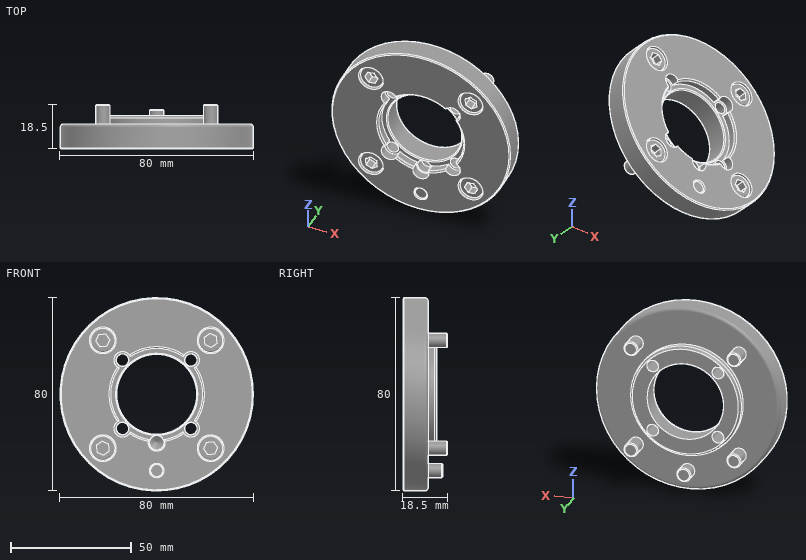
import cadquery as cq
import math


disc_diameter = 80.0
disc_thickness = 10.5
front_edge_chamfer = 0.5
back_edge_fillet = 1.5
spigot_diameter = 48.0
spigot_length = 3.5
spigot_chamfer = 1.0
flange_length = disc_thickness + spigot_length

bore_diameter = 33.0
bore_chamfer = 0.5
recess_diameter = 38.0
recess_depth = 4.0
recess_chamfer = 0.7

inner_circle_diameter = 40.0
pocket_diameter = 7.0
pocket_depth = recess_depth
through_hole_diameter = 5.0
blind_hole_diameter = 6.0
blind_hole_depth = 8.0
drill_tip_angle = 118.0

outer_circle_diameter = 63.0
screw_count = 4
first_screw_angle = 45.0
pin_angle = 270.0
recess_below_face = 0.5
screw_angles = [first_screw_angle + i * 360 / screw_count for i in range(screw_count)]

shank_diameter = 6.0
screw_projection = 8.0
screw_end_chamfer = 0.5
head_diameter = 10.0
head_length = shank_diameter
head_fillet = 0.6
head_pocket_diameter = 11.0
head_pocket_depth = recess_below_face + head_length
socket_width = 5.0
socket_depth = 4.0
socket_sides = 6
socket_turn = 10.0

pin_diameter = 6.0
pin_length = 16.0
pin_chamfer = 0.5


def cylinder(diameter, front, back):
    """Cylinder on the Y axis between two depths."""
    return cq.Workplane("XZ", origin=(0, front, 0)).circle(diameter / 2).extrude(front - back)


def cone(front_diameter, back_diameter, front, back):
    """Cone frustum, or a full cone when the back diameter is zero, on the Y axis."""
    profile = [(0, front), (front_diameter / 2, front), (back_diameter / 2, back), (0, back)]
    if back_diameter == 0:
        profile.pop()
    return cq.Workplane("XY").polyline(profile).close().revolve(360, (0, 0, 0), (0, 1, 0))


def place(body, circle_diameter, angle):
    """Move a body from the axis to a pitch circle, turning it about the axis by the angle."""
    return body.translate((circle_diameter / 2, 0, 0)).rotate((0, 0, 0), (0, 1, 0), -angle)


def make_flange():
    disc = cylinder(disc_diameter, 0, disc_thickness)
    disc = disc.faces("<Y").chamfer(front_edge_chamfer)
    disc = disc.faces(">Y").edges().fillet(back_edge_fillet)
    spigot = cylinder(spigot_diameter, 0, flange_length)
    spigot = spigot.faces(">Y").chamfer(spigot_chamfer)
    flange = disc.union(spigot)

    flange = flange.cut(cylinder(bore_diameter, 0, flange_length))
    bore_mouth = bore_diameter + 2 * bore_chamfer
    flange = flange.cut(cone(bore_mouth, bore_diameter, recess_depth, recess_depth + bore_chamfer))
    flange = flange.cut(cylinder(recess_diameter, 0, recess_depth))
    flange = flange.cut(cone(recess_diameter + 2 * recess_chamfer, recess_diameter, 0, recess_chamfer))

    pocket = cylinder(pocket_diameter, 0, pocket_depth)
    through_hole = pocket.union(cylinder(through_hole_diameter, 0, flange_length))
    for angle in screw_angles:
        flange = flange.cut(place(through_hole, inner_circle_diameter, angle))

    tip_length = blind_hole_diameter / 2 / math.tan(math.radians(drill_tip_angle / 2))
    tip = cone(blind_hole_diameter, 0, blind_hole_depth, blind_hole_depth + tip_length)
    blind_hole = pocket.union(cylinder(blind_hole_diameter, 0, blind_hole_depth)).union(tip)
    flange = flange.cut(place(blind_hole, inner_circle_diameter, pin_angle))

    screw_seat = cylinder(head_pocket_diameter, 0, head_pocket_depth)
    screw_seat = screw_seat.union(cylinder(shank_diameter, 0, disc_thickness))
    for angle in screw_angles:
        flange = flange.cut(place(screw_seat, outer_circle_diameter, angle))
    pin_seat = cylinder(pin_diameter, 0, disc_thickness)
    return flange.cut(place(pin_seat, outer_circle_diameter, pin_angle))


def make_screw(angle):
    head = cylinder(head_diameter, recess_below_face, head_pocket_depth)
    head = head.faces("<Y").edges().fillet(head_fillet)
    shank = cylinder(shank_diameter, head_pocket_depth, disc_thickness + screw_projection)
    shank = shank.faces(">Y").chamfer(screw_end_chamfer)

    corner_diameter = socket_width / math.cos(math.pi / socket_sides)
    hexagon = cq.Workplane("XZ", origin=(0, recess_below_face, 0)).polygon(socket_sides, corner_diameter)
    socket = hexagon.extrude(-socket_depth).rotate((0, 0, 0), (0, 1, 0), socket_turn)
    screw = head.union(shank).cut(socket)
    return place(screw, outer_circle_diameter, angle)


def make_pin():
    pin = cylinder(pin_diameter, recess_below_face, recess_below_face + pin_length)
    pin = pin.faces("<Y or >Y").chamfer(pin_chamfer)
    return place(pin, outer_circle_diameter, pin_angle)


flange = make_flange()
screws = [make_screw(angle) for angle in screw_angles]
pin = make_pin()

result = cq.Compound.makeCompound([flange.val(), *[screw.val() for screw in screws], pin.val()])